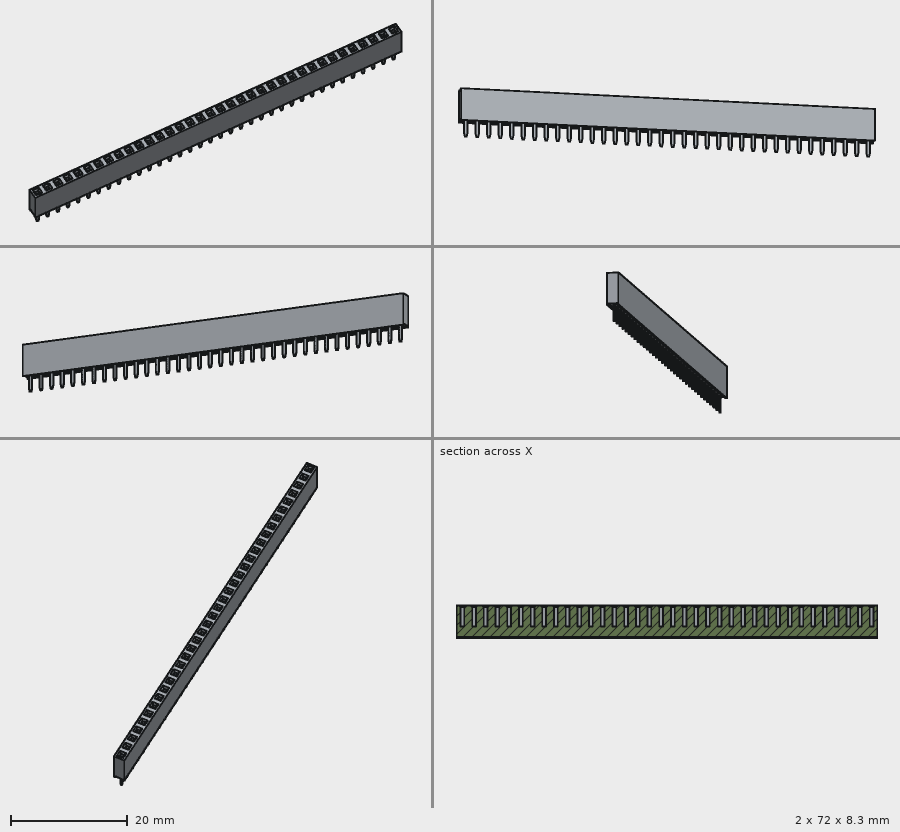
import cadquery as cq

BODY_LENGTH = 72.0
BODY_WIDTH = 2.0
TOTAL_HEIGHT = 8.3
BODY_HEIGHT = 5.6
CHANNEL_WIDTH = 1.45
CHANNEL_DEPTH = 0.2

CONTACT_COUNT = 36
PITCH = BODY_LENGTH / CONTACT_COUNT

HOLE_SIDE = 0.6
HOLE_DEPTH = 3.6
FUNNEL_MOUTH = 2 * HOLE_SIDE
FUNNEL_DEPTH = (FUNNEL_MOUTH - HOLE_SIDE) / 2

CONTACT_WIDTH = HOLE_SIDE
CONTACT_THICKNESS = 0.2
TAIL_LENGTH = TOTAL_HEIGHT - BODY_HEIGHT
TIP_WIDTH = 0.3
TIP_LENGTH = 0.6
BLADE_HEIGHT = 1.45

BLADE_TOP = BODY_HEIGHT - HOLE_DEPTH + BLADE_HEIGHT


def make_body():
    """Long rectangular housing standing on Z = 0, with its underside channel."""
    on_base = (True, True, False)
    block = cq.Workplane("XY").box(BODY_WIDTH, BODY_LENGTH, BODY_HEIGHT, centered=on_base)
    channel = cq.Workplane("XY").box(CHANNEL_WIDTH, BODY_LENGTH, CHANNEL_DEPTH, centered=on_base)
    return block.cut(channel)


def make_socket():
    """Cutter for one socket, centred on the Z axis and ending at the housing top."""
    funnel = (
        cq.Workplane("XY", origin=(0, 0, BODY_HEIGHT))
        .rect(FUNNEL_MOUTH, FUNNEL_MOUTH)
        .workplane(offset=-FUNNEL_DEPTH)
        .rect(HOLE_SIDE, HOLE_SIDE)
        .loft(ruled=True)
    )
    hole = (
        cq.Workplane("XY", origin=(0, 0, BODY_HEIGHT - HOLE_DEPTH))
        .rect(HOLE_SIDE, HOLE_SIDE)
        .extrude(HOLE_DEPTH)
    )
    return funnel.union(hole)


def make_contact():
    """One flat contact, from its blade in the hole down to the narrowed blunt tip of its tail."""
    shoulder_z = TIP_LENGTH - TAIL_LENGTH
    outline = [
        (-CONTACT_WIDTH / 2, BLADE_TOP),
        (-CONTACT_WIDTH / 2, shoulder_z),
        (-TIP_WIDTH / 2, -TAIL_LENGTH),
        (TIP_WIDTH / 2, -TAIL_LENGTH),
        (CONTACT_WIDTH / 2, shoulder_z),
        (CONTACT_WIDTH / 2, BLADE_TOP),
    ]
    return cq.Workplane("YZ").polyline(outline).close().extrude(CONTACT_THICKNESS / 2, both=True)


def at_every_contact(shape):
    """Copies of a shape, one at each contact position along the housing."""
    solid = shape.val()
    row = cq.Workplane("XY").rarray(0.7, PITCH, 1, CONTACT_COUNT)
    return row.eachpoint(lambda location: solid.moved(location))


sockets = at_every_contact(make_socket())
contacts = at_every_contact(make_contact())
result = make_body().cut(sockets).union(contacts)